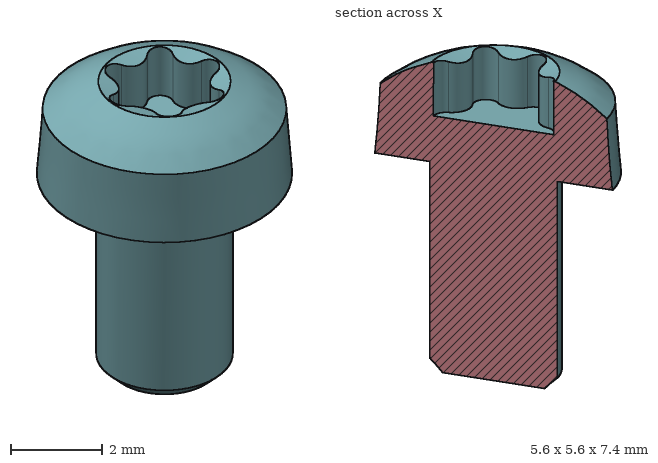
import cadquery as cq
import math

total_length = 7.4
head_height = 2.4
dome_height = 0.7
head_base_radius = 2.801
dome_base_radius = 2.67
rim_radius = 1.45
dome_sphere_radius = 4.145
shank_radius = 1.5
tip_chamfer = 0.3

lobe_count = 6
lobe_reach = 1.405
lobe_radius = 0.29
valley_reach = 1.01
socket_depth = 1.28
countersink_slope = 15.0

head_bottom = total_length - head_height
dome_base = total_length - dome_height


def polar(radius, angle):
    return radius * math.cos(angle), radius * math.sin(angle)


def screw_body():
    """Revolved shank, tapered head and domed top."""
    chord_r = dome_base_radius - rim_radius
    chord = math.hypot(chord_r, dome_height)
    bulge = dome_sphere_radius - math.sqrt(dome_sphere_radius**2 - (chord / 2) ** 2)
    dome_middle = (
        (dome_base_radius + rim_radius) / 2 + bulge * dome_height / chord,
        (dome_base + total_length) / 2 + bulge * chord_r / chord,
    )
    return (
        cq.Workplane("XZ")
        .lineTo(shank_radius - tip_chamfer, 0)
        .lineTo(shank_radius, tip_chamfer)
        .lineTo(shank_radius, head_bottom)
        .lineTo(head_base_radius, head_bottom)
        .lineTo(dome_base_radius, dome_base)
        .threePointArc(dome_middle, (rim_radius, total_length))
        .lineTo(0, total_length)
        .close()
        .revolve(360, (0, 0, 0), (0, 1, 0))
    )


def socket_prism():
    """Six-lobe prism whose lobe and valley arcs meet tangentially."""
    half_pitch = math.pi / lobe_count
    lobe_center = lobe_reach - lobe_radius
    cos_pitch = math.cos(half_pitch)
    valley_radius = (
        lobe_center**2 + valley_reach**2
        - 2 * lobe_center * valley_reach * cos_pitch - lobe_radius**2
    ) / (2 * (lobe_radius + lobe_center * cos_pitch - valley_reach))
    valley_center = valley_reach + valley_radius

    valley_x, valley_y = polar(valley_center, half_pitch)
    share = lobe_radius / (lobe_radius + valley_radius)
    joint_x = lobe_center + share * (valley_x - lobe_center)
    joint_y = share * valley_y
    joint_radius = math.hypot(joint_x, joint_y)
    joint_angle = math.atan2(joint_y, joint_x)

    first_lobe = math.pi / 2
    outline = cq.Workplane("XY", origin=(0, 0, total_length - socket_depth))
    outline = outline.moveTo(*polar(joint_radius, first_lobe - joint_angle))
    for i in range(lobe_count):
        lobe = first_lobe + 2 * i * half_pitch
        next_lobe = lobe + 2 * half_pitch
        outline = outline.threePointArc(
            polar(lobe_reach, lobe), polar(joint_radius, lobe + joint_angle)
        ).threePointArc(
            polar(valley_reach, lobe + half_pitch),
            polar(joint_radius, next_lobe - joint_angle),
        )
    return outline.close().extrude(socket_depth)


def socket_countersink():
    """Shallow cone that leads from the rim into the socket."""
    cone_depth = rim_radius * math.tan(math.radians(countersink_slope))
    return (
        cq.Workplane("XZ")
        .moveTo(0, total_length)
        .lineTo(rim_radius, total_length)
        .lineTo(0, total_length - cone_depth)
        .close()
        .revolve(360, (0, 0, 0), (0, 1, 0))
    )


result = screw_body().cut(socket_prism()).cut(socket_countersink())